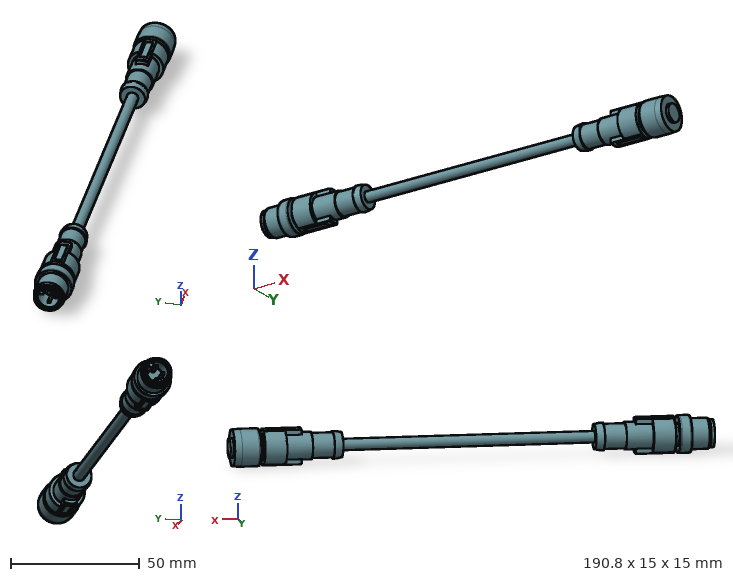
import cadquery as cq
import math

total_length = 190.8

cable_radius = 2.3

grip_length = 31.1
collar_length = 3.5
rear_end = 12.0
shoulder_position = 22.5
rear_radius = 5.0
middle_step = 0.48
middle_radius = rear_radius + middle_step
collar_bulge_radius = 5.3
head_radius = 7.0

lug_start = 16.0
lug_radius = 7.3
lug_width = 5.0
lug_end_chamfer = 0.4
lug_slot_start = 18.5
lug_slot_length = 10.9
lug_slot_width = 2.9
lug_slot_depth = 0.4

neck_radius = 4.5
neck_flange_radius = 5.2
neck_flange_length = 0.5

nut_radius = 7.5
nut_edge = 0.8
nut_edge_drop = 0.2

male_grip_front = 15.6
male_nut_start = 9.2
male_nut_length = 4.8
thread_start = 2.3
thread_radius = 6.1
tip_radius = 5.5
tip_length = 1.3
socket_radius = 4.2
socket_depth = 8.5
socket_mouth_radius = 5.0
socket_mouth_depth = 0.5
pin_radius = 0.5
pin_circle_radius = 2.7
pin_recess = 2.0
pin_angles = (0, 90, 270)
key_radius = 1.0
key_circle_radius = 3.6
key_angle = 135

female_grip_front = 177.6
female_nut_start = 179.4
female_nut_end = 189.7
female_nut_rim = 2.9
insert_radius = 3.8


def revolve_profile(points, collar_arc=None):
    """Turn (x, radius) points, closed along the X axis, into a solid.

    collar_arc optionally gives the middle and end points of an arc that follows the first point.
    """
    outline = cq.Workplane("XY").moveTo(points[0][0], 0).lineTo(*points[0])
    if collar_arc:
        outline = outline.threePointArc(*collar_arc)
    for point in points[1:]:
        outline = outline.lineTo(*point)
    return outline.lineTo(points[-1][0], 0).close().revolve(360, (0, 0, 0), (1, 0, 0))


def cylinder(start, end, radius):
    """Cylinder on the X axis from start to end."""
    return revolve_profile([(start, radius), (end, radius)])


def cross_box(start, length, width, height):
    """Box along X that is centred on the axis in Y and Z."""
    return cq.Workplane("XY").box(length, width, height).translate((start + length / 2, 0, 0))


def make_lugs():
    """Top and bottom lugs: a cylinder trimmed to a strip across the axis."""
    lugs = revolve_profile([
        (lug_start, lug_radius - lug_end_chamfer),
        (lug_start + lug_end_chamfer, lug_radius),
        (grip_length, lug_radius),
    ])
    return lugs.intersect(cross_box(lug_start, grip_length - lug_start, lug_width, 2 * lug_radius))


def make_lug_slots():
    """Cutter for the shallow flat-bottomed slot in each lug."""
    strip = cross_box(lug_slot_start, lug_slot_length, lug_slot_width, 2 * lug_radius)
    core_height = 2 * (lug_radius - lug_slot_depth)
    return strip.cut(cross_box(lug_slot_start, lug_slot_length, lug_slot_width, core_height))


def make_grip():
    """Grip with its cable end at X = 0 and its connector end at X = grip_length."""
    collar_bulge = (collar_length / 2, collar_bulge_radius)
    collar_top = (collar_length, middle_radius)
    points = [
        (0, rear_radius),
        (collar_length, rear_radius),
        (rear_end, rear_radius),
        (rear_end, middle_radius),
        (shoulder_position, middle_radius),
        (shoulder_position, head_radius),
        (grip_length, head_radius),
    ]
    body = revolve_profile(points, (collar_bulge, collar_top))
    return body.union(make_lugs()).cut(make_lug_slots())


def make_nut(start, end, front_edge):
    """Coupling nut whose two ends taper slightly; front_edge is the taper length at end."""
    edge_radius = nut_radius - nut_edge_drop
    return revolve_profile([
        (start, edge_radius),
        (start + nut_edge, nut_radius),
        (end - front_edge, nut_radius),
        (end, edge_radius),
    ])


def rod(start, end, radius, circle_radius, angle):
    """Rod parallel to X, placed on a circle at an angle from -Y towards +Z."""
    y = -circle_radius * math.cos(math.radians(angle))
    z = circle_radius * math.sin(math.radians(angle))
    return cq.Workplane("YZ", origin=(start, y, z)).circle(radius).extrude(end - start)


def make_male_end():
    """Threaded plug with a pin socket, its nut and the neck behind it."""
    plug = revolve_profile([
        (0, tip_radius),
        (tip_length, tip_radius),
        (thread_start, thread_radius),
        (male_nut_start, thread_radius),
    ])
    nut_end = male_nut_start + male_nut_length
    plug = plug.union(make_nut(male_nut_start, nut_end, nut_edge))
    plug = plug.union(cylinder(nut_end, male_grip_front, neck_radius))
    plug = plug.union(cylinder(male_grip_front - neck_flange_length, male_grip_front, neck_flange_radius))
    plug = plug.cut(cylinder(0, socket_depth, socket_radius))
    plug = plug.cut(cylinder(0, socket_mouth_depth, socket_mouth_radius))
    for angle in pin_angles:
        plug = plug.union(rod(pin_recess, socket_depth, pin_radius, pin_circle_radius, angle))
    key = rod(0, socket_depth, key_radius, key_circle_radius, key_angle)
    return plug.union(key)


def make_female_end():
    """Coupling nut with the socket insert standing out of its front face."""
    neck = cylinder(female_grip_front, female_nut_start, neck_radius)
    flange = cylinder(female_grip_front, female_grip_front + neck_flange_length, neck_flange_radius)
    nut = make_nut(female_nut_start, female_nut_end, female_nut_rim)
    insert = cylinder(female_nut_end, total_length, insert_radius)
    return neck.union(flange).union(nut).union(insert)


female_grip = make_grip().translate((female_grip_front - grip_length, 0, 0))
male_grip = make_grip().mirror("YZ").translate((male_grip_front + grip_length, 0, 0))
cable = cylinder(male_grip_front + grip_length, female_grip_front - grip_length, cable_radius)

result = make_male_end().union(male_grip).union(cable).union(female_grip).union(make_female_end())